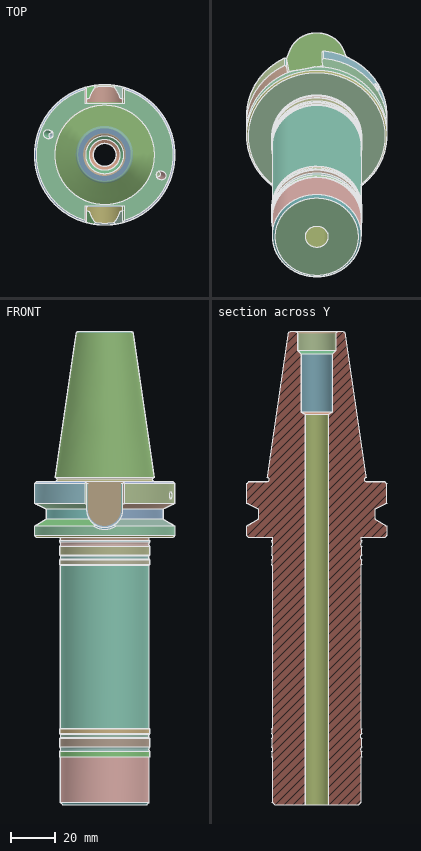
import cadquery as cq
import math

height = 212.5
flange_bottom = 120.0
flange_top = 145.0
gauge_height = 147.0

gauge_radius = 22.3
taper_ratio = 7 / 24
small_end_radius = gauge_radius - (height - gauge_height) * taper_ratio / 2
nose_flat_radius = 23.5 / 2
nose_round = 0.8
nose_round_radius = 1.0
neck_radius = 21.5
neck_fillet = 1.0
undercut_height = 0.6

flange_radius = 63.0 / 2
flange_chamfer = 0.8
groove_radius = 26.3
upper_rim_bottom = 135.3
groove_top = 132.8
groove_bottom = 128.3
lower_rim_top = 125.0

body_radius = 40.0 / 2
band_radius = 40.5 / 2
band_step = band_radius - body_radius
upper_band = (108.0, 118.7)
lower_band = (21.7, 34.2)
bottom_chamfer = 1.3
flat_groove_width = 2.1
flat_groove_depth = 0.5
flat_groove_heights = (111.0, 31.0)
round_groove_width = 2.1
round_groove_depth = 0.5
round_groove_heights = (117.0, 25.0)

through_radius = 10.2 / 2
thread_radius = 13.8 / 2
counterbore_radius = 17 / 2
mouth_round = 1.0
counterbore_depth = 8.5
thread_depth = 36.1
drill_cone_height = 1.0
seat_cone_height = 1.7

slot_width = 16.1
slot_floor = 23.0
slot_center_height = 132.5
slot_edge_chamfer = 0.8
slot_floor_fillet = 0.6

coolant_angle = 20
coolant_circle_radius = 27.0
inclined_diameter = 3.8
inclination = 30
radial_diameter = 3.2
radial_height = 139.0


def make_holder():
    nose_edge_radius = small_end_radius + nose_round * taper_ratio / 2
    outline = (
        cq.Workplane("XZ")
        .moveTo(0, 0)
        .lineTo(body_radius - bottom_chamfer, 0)
        .lineTo(body_radius, bottom_chamfer)
        .lineTo(body_radius, lower_band[0])
        .lineTo(band_radius, lower_band[0])
        .lineTo(band_radius, lower_band[1])
        .lineTo(body_radius, lower_band[1] + band_step)
        .lineTo(body_radius, upper_band[0] - band_step)
        .lineTo(band_radius, upper_band[0])
        .lineTo(band_radius, upper_band[1])
        .lineTo(body_radius, upper_band[1])
        .lineTo(body_radius, flange_bottom)
        .lineTo(flange_radius - flange_chamfer, flange_bottom)
        .lineTo(flange_radius, flange_bottom + flange_chamfer)
        .lineTo(flange_radius, lower_rim_top)
        .lineTo(groove_radius, groove_bottom)
        .lineTo(groove_radius, groove_top)
        .lineTo(flange_radius, upper_rim_bottom)
        .lineTo(flange_radius, flange_top - flange_chamfer)
        .lineTo(flange_radius - flange_chamfer, flange_top)
        .lineTo(neck_radius + neck_fillet, flange_top)
        .radiusArc((neck_radius, flange_top + neck_fillet), neck_fillet)
        .lineTo(neck_radius, gauge_height - undercut_height)
        .lineTo(gauge_radius, gauge_height)
        .lineTo(nose_edge_radius, height - nose_round)
        .radiusArc((nose_flat_radius, height), -nose_round_radius)
        .lineTo(0, height)
        .close()
    )
    return outline.revolve(360, (0, 0), (0, 1))


def make_bore():
    thread_bottom = height - thread_depth
    counterbore_bottom = height - counterbore_depth
    return (
        cq.Workplane("XZ")
        .lineTo(through_radius, 0)
        .lineTo(through_radius, thread_bottom - drill_cone_height)
        .lineTo(thread_radius, thread_bottom)
        .lineTo(thread_radius, counterbore_bottom - seat_cone_height)
        .lineTo(counterbore_radius, counterbore_bottom)
        .lineTo(counterbore_radius, height - mouth_round)
        .radiusArc((counterbore_radius + mouth_round, height), mouth_round)
        .lineTo(0, height)
        .close()
        .revolve(360, (0, 0), (0, 1))
    )


def make_flat_groove(z):
    """Ring cutter centred at height z with a flat floor and 45-degree flanks."""
    floor_radius = band_radius - flat_groove_depth
    half_width = flat_groove_width / 2
    half_floor = half_width - flat_groove_depth
    return (
        cq.Workplane("XZ")
        .moveTo(band_radius, z - half_width)
        .lineTo(floor_radius, z - half_floor)
        .lineTo(floor_radius, z + half_floor)
        .lineTo(band_radius, z + half_width)
        .close()
        .revolve(360, (0, 0), (0, 1))
    )


def make_round_groove(z):
    """Ring cutter centred at height z with a shallow arc section."""
    half_width = round_groove_width / 2
    return (
        cq.Workplane("XZ")
        .moveTo(band_radius, z - half_width)
        .threePointArc((band_radius - round_groove_depth, z), (band_radius, z + half_width))
        .close()
        .revolve(360, (0, 0), (0, 1))
    )


def make_slot():
    """Drive slot on the -Y side: half-round lower end, rounded floor edge, flared open top."""
    half = slot_width / 2
    depth = flange_radius - slot_floor
    slot = (
        cq.Workplane("XZ", origin=(0, -slot_floor, 0))
        .moveTo(-half, flange_top)
        .lineTo(-half, slot_center_height)
        .threePointArc((0, slot_center_height - half), (half, slot_center_height))
        .lineTo(half, flange_top)
        .close()
        .extrude(depth)
    )
    slot = slot.faces(">Y").edges("not >Z").fillet(slot_floor_fillet)
    flare = (
        cq.Workplane("XZ", origin=(0, -slot_floor, 0))
        .moveTo(-half, flange_top - slot_edge_chamfer)
        .lineTo(-half - slot_edge_chamfer, flange_top)
        .lineTo(half + slot_edge_chamfer, flange_top)
        .lineTo(half, flange_top - slot_edge_chamfer)
        .close()
        .extrude(depth)
    )
    return slot.union(flare)


def chamfer_slot_mouths(body):
    """Bevel the slot edges that lie on the outside of both flange rims."""
    half = slot_width / 2
    corner = math.sqrt(flange_radius**2 - half**2)
    reach = 0.2
    for side in (-1, 1):
        upper_rim = cq.selectors.BoxSelector(
            (-half - reach, side * (corner - reach), upper_rim_bottom),
            (half + reach, side * (corner + reach), flange_top),
        )
        body = body.edges(upper_rim).edges("|Z").chamfer(slot_edge_chamfer)
        lower_rim = cq.selectors.BoxSelector(
            (-half + reach, side * corner, flange_bottom + flange_chamfer + reach),
            (half - reach, side * (flange_radius + reach), lower_rim_top - reach),
        )
        body = body.edges(lower_rim).chamfer(slot_edge_chamfer)
    return body


def make_coolant_holes():
    """Hole sloping inward from the flange top, met by a radial hole from the rim."""
    inclined_radius = inclined_diameter / 2
    drop = flange_top - radial_height
    meeting_radius = coolant_circle_radius - drop * math.tan(math.radians(inclination))
    length_to_meeting = drop / math.cos(math.radians(inclination))
    inclined = (
        cq.Workplane("XY")
        .circle(inclined_radius)
        .extrude(length_to_meeting + 2 * inclined_radius)
        .translate((0, 0, -inclined_radius))
        .rotate((0, 0, 0), (0, 1, 0), inclination)
        .translate((meeting_radius, 0, radial_height))
    )
    radial = (
        cq.Workplane("YZ", origin=(meeting_radius, 0, radial_height))
        .circle(radial_diameter / 2)
        .extrude(flange_radius - meeting_radius)
    )
    return inclined.union(radial).rotate((0, 0, 0), (0, 0, 1), -coolant_angle)


holder = make_holder().cut(make_bore())
for groove_height in flat_groove_heights:
    holder = holder.cut(make_flat_groove(groove_height))
for groove_height in round_groove_heights:
    holder = holder.cut(make_round_groove(groove_height))

half_turns = (0, 180)
slot = make_slot()
for turn in half_turns:
    holder = holder.cut(slot.rotate((0, 0, 0), (0, 0, 1), turn))
holder = chamfer_slot_mouths(holder)

coolant_holes = make_coolant_holes()
for turn in half_turns:
    holder = holder.cut(coolant_holes.rotate((0, 0, 0), (0, 0, 1), turn))

result = holder